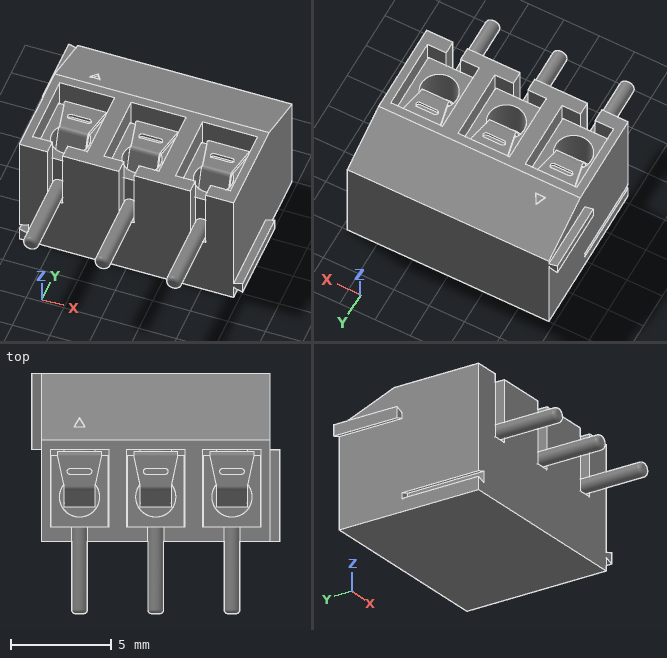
import cadquery as cq
import math


total_width = 12.39
rail_height = 0.48
body_width = total_width - 2 * rail_height
body_depth = 8.4
body_height = 7.0
slope_run = 3.32
slope_drop = 1.29
poles = 3
pitch = body_width / poles

pocket_width = 2.92
pocket_front = 0.72
pocket_ledge = 0.47
pocket_back = body_depth - slope_run - pocket_ledge
slot_width = 0.82
slot_depth = 3.48
pocket_floor = body_height - slot_depth

dovetail_root = 0.31
dovetail_crest = 0.63
upper_rail_z = body_height - 1.69
lower_rail_z = 0.89
rail_split = 4.6

side_gap = 0.05
back_gap = 0.3
terminal_width = pocket_width - 2 * side_gap
terminal_back = pocket_back - back_gap
terminal_top = body_height - 1.19
wire_hole_radius = 1.0
wire_hole_y = pocket_back - 2.38
screw_radius = 0.78

sheet = 0.2
clamp_top = terminal_top + sheet
clamp_gap = 0.1
clamp_back = pocket_back - clamp_gap
clamp_bend = 0.24
tongue_bend = 0.25
tongue_angle = math.radians(71)
tongue_bend_y = pocket_back - 1.85
clamp_back_width = 2.19
tongue_width = 1.55
clamp_slot_length = 1.24
clamp_slot_width = 0.28
clamp_slot_y = pocket_back - 1.1

pin_radius = 0.4
pin_clearance = 0.04
pin_length = 3.6
pin_z = pocket_floor + pin_radius + pin_clearance
pin_tip_round = 0.2

mark_width = 0.55
mark_length = 0.47
mark_depth = 0.1
mark_y = body_depth - slope_run + 0.66

pole_xs = [(i - (poles - 1) / 2) * pitch for i in range(poles)]


def block(x, width, y_front, y_back, z_bottom, z_top):
    """Box centred on x between the given Y and Z limits."""
    size = (width, y_back - y_front, z_top - z_bottom)
    return cq.Workplane("XY").box(*size, centered=(True, False, False)).translate((x, y_front, z_bottom))


def cylinder_y(x, z, radius, y_front, y_back):
    """Cylinder along Y."""
    plane = cq.Plane(origin=(x, y_front, z), xDir=(1, 0, 0), normal=(0, 1, 0))
    return cq.Workplane(plane).circle(radius).extrude(y_back - y_front)


def dovetail(x_root, direction, z, y_front, y_back):
    """Bar along Y that widens from x_root towards direction (+1 or -1 in X)."""
    x_crest = x_root + direction * rail_height
    points = [
        (x_root, z - dovetail_root / 2),
        (x_crest, z - dovetail_crest / 2),
        (x_crest, z + dovetail_crest / 2),
        (x_root, z + dovetail_root / 2),
    ]
    profile = cq.Workplane("XZ", origin=(0, y_back, 0)).polyline(points).close()
    return profile.extrude(y_back - y_front)


def make_housing():
    """Block with a sloped rear top edge, side rails and the mating groove."""
    profile = [
        (0, 0),
        (body_depth, 0),
        (body_depth, body_height - slope_drop),
        (body_depth - slope_run, body_height),
        (0, body_height),
    ]
    left = -body_width / 2
    housing = cq.Workplane("YZ", origin=(left, 0, 0)).polyline(profile).close().extrude(body_width)
    housing = housing.union(dovetail(left, -1, upper_rail_z, rail_split, body_depth))
    housing = housing.union(dovetail(-left, 1, lower_rail_z, 0, rail_split))
    return housing.cut(dovetail(left, 1, lower_rail_z, 0, rail_split))


def make_mark():
    """Triangular prism sunk square to the sloped face, pointing to the rear."""
    x = pole_xs[0]
    slope = slope_drop / slope_run
    base_z = body_height - (mark_y - (body_depth - slope_run)) * slope
    plane = cq.Plane(origin=(x, mark_y, base_z), xDir=(1, 0, 0), normal=(0, slope, 1))
    length = mark_length * math.hypot(1, slope)
    points = [(-mark_width / 2, 0), (mark_width / 2, 0), (0, length)]
    return cq.Workplane(plane).polyline(points).close().extrude(-mark_depth)


def make_opening(x):
    """Pocket of one pole together with its slot in the front wall."""
    pocket = block(x, pocket_width, pocket_front, pocket_back, pocket_floor, body_height)
    return pocket.union(block(x, slot_width, 0, pocket_front, pocket_floor, body_height))


def make_terminal(x):
    """Metal block with its wire hole, and the screw that bridges the rear gap."""
    terminal = block(x, terminal_width, pocket_front, terminal_back, pocket_floor, terminal_top)
    hole = cq.Workplane("XY", origin=(x, wire_hole_y, pocket_floor)).circle(wire_hole_radius)
    terminal = terminal.cut(hole.extrude(terminal_top - pocket_floor))
    return terminal.union(cylinder_y(x, pin_z, screw_radius, terminal_back, pocket_back))


def make_clamp(x):
    """Sheet lying on the terminal, with a rear leg in the gap and a tongue in the hole."""

    def tongue_arc(radius, angle):
        y = tongue_bend_y - radius * math.sin(angle)
        z = clamp_top - tongue_bend + radius * math.cos(angle)
        return y, z

    def tongue_foot(arc_end):
        y, z = arc_end
        return y - (z - pocket_floor) / math.tan(tongue_angle), pocket_floor

    def back_arc(radius, angle):
        y = clamp_back - clamp_bend + radius * math.cos(angle)
        z = clamp_top - clamp_bend + radius * math.sin(angle)
        return y, z

    outer_end = tongue_arc(tongue_bend, tongue_angle)
    inner_tongue = tongue_bend - sheet
    inner_end = tongue_arc(inner_tongue, tongue_angle)
    inner_back = clamp_bend - sheet
    sheet_section = (
        cq.Workplane("YZ", origin=(x - clamp_back_width / 2, 0, 0))
        .moveTo(*tongue_foot(outer_end))
        .lineTo(*outer_end)
        .threePointArc(tongue_arc(tongue_bend, tongue_angle / 2), tongue_arc(tongue_bend, 0))
        .lineTo(*back_arc(clamp_bend, math.pi / 2))
        .threePointArc(back_arc(clamp_bend, math.pi / 4), back_arc(clamp_bend, 0))
        .lineTo(clamp_back, pocket_floor)
        .lineTo(clamp_back - sheet, pocket_floor)
        .lineTo(*back_arc(inner_back, 0))
        .threePointArc(back_arc(inner_back, math.pi / 4), back_arc(inner_back, math.pi / 2))
        .lineTo(*tongue_arc(inner_tongue, 0))
        .threePointArc(tongue_arc(inner_tongue, tongue_angle / 2), inner_end)
        .lineTo(*tongue_foot(inner_end))
        .close()
        .extrude(clamp_back_width)
    )
    half_outline = [
        (0, pocket_front),
        (tongue_width / 2, pocket_front),
        (tongue_width / 2, tongue_bend_y),
        (clamp_back_width / 2, clamp_back - clamp_bend),
        (clamp_back_width / 2, clamp_back),
        (0, clamp_back),
    ]
    plan = cq.Workplane("XY", origin=(x, 0, pocket_floor)).polyline(half_outline).mirrorY()
    clamp = sheet_section.intersect(plan.extrude(slot_depth))
    slot = cq.Workplane("XY", origin=(x, clamp_slot_y, terminal_top))
    slot = slot.slot2D(clamp_slot_length, clamp_slot_width).extrude(sheet)
    return clamp.cut(slot)


def make_pin(x):
    """Round pin from the terminal out through the slot, with a rounded tip."""
    pin = cylinder_y(x, pin_z, pin_radius, -pin_length, pocket_front)
    return pin.faces("<Y").edges().fillet(pin_tip_round)


result = make_housing().cut(make_mark())
for pole_x in pole_xs:
    result = result.cut(make_opening(pole_x))
    result = result.union(make_terminal(pole_x))
    result = result.union(make_clamp(pole_x))
    result = result.union(make_pin(pole_x))